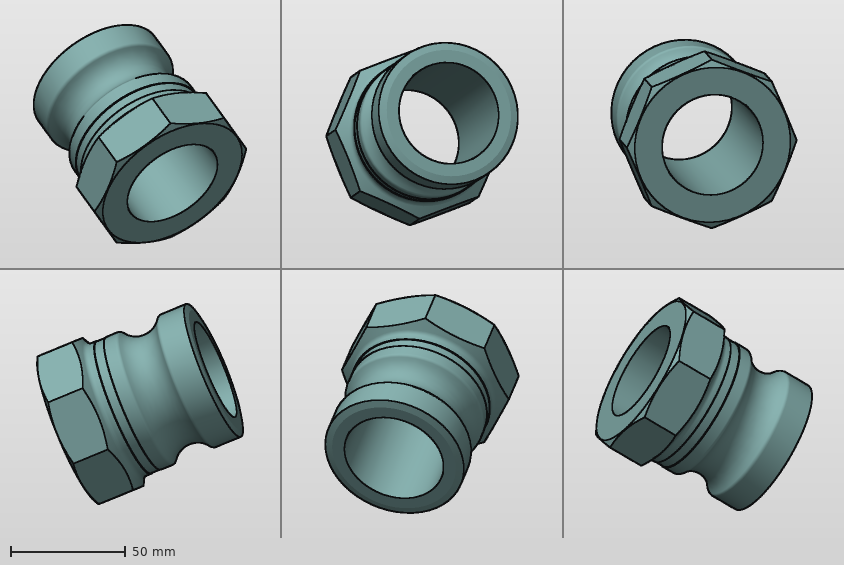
import cadquery as cq
import math

length = 70.0
nut_radius = 37.9
nut_sides = 8
nut_cone_angle = math.radians(60)
nut_corner_start = 51.7
nut_corner_end = 68.2

bore_diameter = 45.0
body_radius = 63.0 / 2
nose_radius = 56.15 / 2
nose_chamfer_length = 0.9

neck_x = 23.3
neck_radius = 26.0
neck_arc_radius = 11.0
neck_edge_radius = 2.0

ring_start = 39.25
ring_end = 44.1
ring_radius = 62.5 / 2
ring_slope_length = body_radius - ring_radius

shoulder_fillet = 2.65

arc_center_r = neck_radius + neck_arc_radius
edge_center_r = body_radius - neck_edge_radius
center_distance = neck_arc_radius + neck_edge_radius
edge_offset = math.sqrt(center_distance**2 - (arc_center_r - edge_center_r)**2)
neck_angle = math.asin(edge_offset / center_distance)
join_offset = neck_arc_radius * math.sin(neck_angle)
join_r = arc_center_r - neck_arc_radius * math.cos(neck_angle)
round_mid_offset = edge_offset - neck_edge_radius * math.sin(neck_angle / 2)
round_mid_r = edge_center_r + neck_edge_radius * math.cos(neck_angle / 2)

fillet_end_r = body_radius + shoulder_fillet * (1 - math.cos(nut_cone_angle))
fillet_end_x = nut_corner_start - (nut_radius - fillet_end_r) / math.tan(nut_cone_angle)
fillet_start_x = fillet_end_x - shoulder_fillet * math.sin(nut_cone_angle)
fillet_mid_x = fillet_start_x + shoulder_fillet * math.sin(nut_cone_angle / 2)
fillet_mid_r = body_radius + shoulder_fillet * (1 - math.cos(nut_cone_angle / 2))
end_face_radius = nut_radius - (length - nut_corner_end) * math.tan(nut_cone_angle)


def turned_blank():
    """Solid of revolution that contains every round surface on the outside."""
    profile = (
        cq.Workplane("XY")
        .lineTo(0, nose_radius)
        .lineTo(nose_chamfer_length, body_radius)
        .lineTo(neck_x - edge_offset, body_radius)
        .threePointArc((neck_x - round_mid_offset, round_mid_r), (neck_x - join_offset, join_r))
        .threePointArc((neck_x, neck_radius), (neck_x + join_offset, join_r))
        .threePointArc((neck_x + round_mid_offset, round_mid_r), (neck_x + edge_offset, body_radius))
        .lineTo(ring_start, body_radius)
        .lineTo(ring_start + ring_slope_length, ring_radius)
        .lineTo(ring_end - ring_slope_length, ring_radius)
        .lineTo(ring_end, body_radius)
        .lineTo(fillet_start_x, body_radius)
        .threePointArc((fillet_mid_x, fillet_mid_r), (fillet_end_x, fillet_end_r))
        .lineTo(nut_corner_start, nut_radius)
        .lineTo(nut_corner_end, nut_radius)
        .lineTo(length, end_face_radius)
        .lineTo(length, 0)
        .close()
    )
    return profile.revolve(360, (0, 0, 0), (1, 0, 0))


def octagon_bar():
    """Full-length octagonal bar with corners on the Y and Z axes."""
    return cq.Workplane("YZ").polygon(nut_sides, 2 * nut_radius).extrude(length)


bore = cq.Workplane("YZ").circle(bore_diameter / 2).extrude(length)

result = turned_blank().intersect(octagon_bar()).cut(bore)